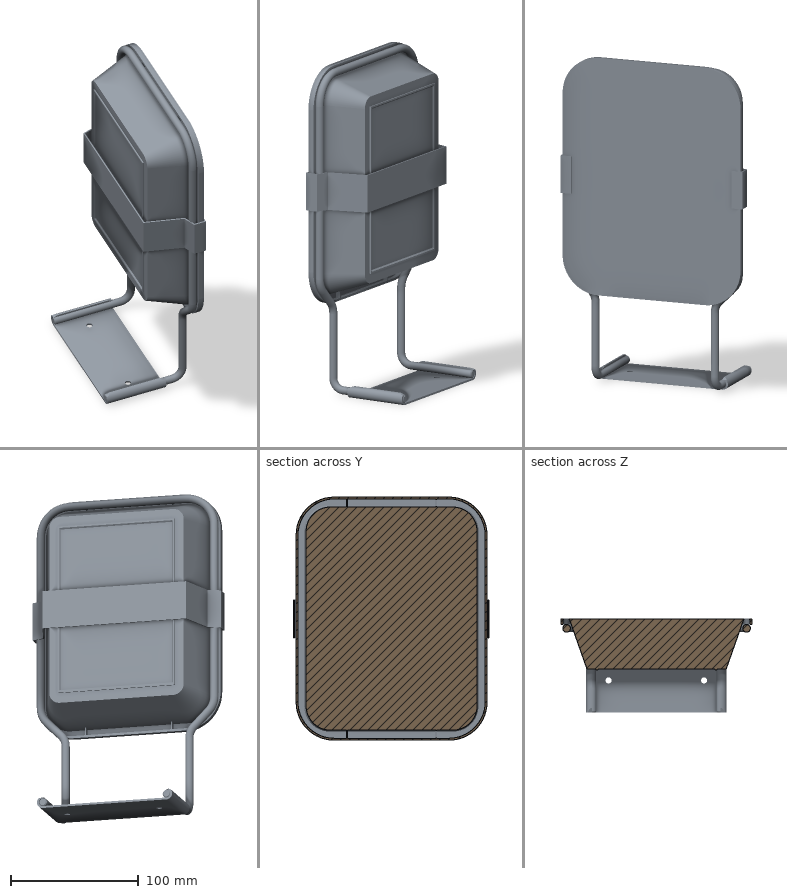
import cadquery as cq
import math

center_x = 0.3
top_z = 263.4
flange_width = 149.9
flange_height = 190.7
flange_depth = 4.7
flange_radius = 30.0
flange_center_z = top_z - flange_height / 2
lip = 1.8
groove_floor = 1.0

tray_base_inset = 6.3
tray_front_inset = 20.3
tray_depth = 39.5
tray_base_radius = 20.5
tray_front_radius = 8.5

frame_width = 95.3
frame_height = 134.3
frame_base_wall = 2.5
frame_top_wall = 1.3
frame_raise = 1.0

rib_x = 35.0
rib_thickness = 1.0

rod_radius = 3.2
rod_end_chamfer = 0.8
rod_y = -7.6
rod_inset = 4.5
rod_corner_radius = 22.6
shoulder_z = 97.2
shoulder_radius = 15.0
knee_radius = 12.0
leg_x = 50.3
foot_radius = 9.2

sheet = 1.5
plate_back_y = -23.5
plate_front_y = -73.7
roll_radius = rod_radius + sheet
foot_z = roll_radius
roll_chamfer_length = 3.7
roll_chamfer_drop = 1.45
hole_spacing = 74.8
hole_diameter = 4.7

strap_width = 153.3
strap_thickness = 1.0
strap_bottom_z = 152.7
strap_height = 30.0
strap_side_depth = 9.0
strap_shoulder_x = 67.0
strap_shoulder_depth = 13.2
strap_front_x = 58.5
strap_front_depth = 44.5
hook_length = 9.0

MIDDLE = cq.Vector(center_x, 0, flange_center_z)


def housing_plane(depth=0.0):
    """Plane facing -Y, centred on the housing, at a depth in front of its back."""
    return cq.Workplane("XZ", origin=(center_x, -depth, flange_center_z))


def rounded_plate(inset, radius, depth, thickness):
    """Rounded rectangle set in from the flange outline."""
    return (
        housing_plane(depth)
        .rect(flange_width - 2 * inset, flange_height - 2 * inset)
        .extrude(thickness)
        .edges("|Y")
        .fillet(radius)
    )


def rounded_outline(inset, radius):
    return cq.Sketch().rect(flange_width - 2 * inset, flange_height - 2 * inset).vertices().fillet(radius)


def make_housing():
    flange = rounded_plate(0, flange_radius, 0, flange_depth)
    groove = rounded_plate(lip, flange_radius - lip, groove_floor, flange_depth)
    ribs = (
        housing_plane()
        .pushPoints([(-rib_x, 0), (rib_x, 0)])
        .rect(rib_thickness, flange_height - 2 * lip)
        .extrude(flange_depth)
    )
    tray = (
        housing_plane()
        .placeSketch(
            rounded_outline(tray_base_inset, tray_base_radius),
            rounded_outline(tray_front_inset, tray_front_radius).moved(cq.Location(cq.Vector(0, 0, tray_depth))),
        )
        .loft(ruled=True)
    )
    frame = (
        housing_plane(tray_depth)
        .rect(frame_width, frame_height)
        .extrude(frame_raise)
    )
    slope = math.degrees(math.atan2(frame_base_wall - frame_top_wall, frame_raise))
    window = (
        housing_plane(tray_depth)
        .rect(frame_width - 2 * frame_base_wall, frame_height - 2 * frame_base_wall)
        .extrude(frame_raise, taper=-slope)
    )
    return flange.cut(groove).union(ribs).union(tray).union(frame.cut(window))


def make_rod_half():
    """Rod from the middle of the top bar, down one side, to the end of one foot."""
    top = top_z - rod_inset
    side = flange_width / 2 - rod_inset
    slant = math.sqrt(0.5)
    shoulder_end = (side - shoulder_radius * (1 - slant), shoulder_z - shoulder_radius * slant)
    knee_start_x = leg_x + knee_radius * (1 - slant)
    knee_start_z = shoulder_end[1] - (shoulder_end[0] - knee_start_x)
    knee_end_z = knee_start_z - knee_radius * slant
    leg_end_z = foot_z + foot_radius
    hoop_path = (
        cq.Workplane("XZ", origin=(center_x, rod_y, 0))
        .moveTo(0, top)
        .lineTo(side - rod_corner_radius, top)
        .tangentArcPoint((side, top - rod_corner_radius), relative=False)
        .lineTo(side, shoulder_z)
        .tangentArcPoint(shoulder_end, relative=False)
        .lineTo(knee_start_x, knee_start_z)
        .tangentArcPoint((leg_x, knee_end_z), relative=False)
        .lineTo(leg_x, leg_end_z)
    )
    hoop = cq.Workplane("YZ", origin=(center_x, rod_y, top)).circle(rod_radius).sweep(hoop_path)
    foot_path = (
        cq.Workplane("YZ", origin=(center_x + leg_x, 0, 0))
        .moveTo(rod_y, leg_end_z)
        .radiusArc((rod_y - foot_radius, foot_z), foot_radius)
        .lineTo(plate_front_y, foot_z)
    )
    foot = (
        cq.Workplane("XY", origin=(center_x + leg_x, rod_y, leg_end_z))
        .circle(rod_radius)
        .sweep(foot_path)
        .faces("<Y")
        .chamfer(rod_end_chamfer)
    )
    return hoop.union(foot)


def make_rod():
    half = make_rod_half()
    return half.union(half.mirror("YZ", MIDDLE))


def make_rolled_edge():
    """Half tube around the outer side of one foot, its free edge clipped at both ends."""
    length = plate_back_y - plate_front_y
    x = center_x + leg_x
    roll = (
        cq.Workplane("XZ", origin=(x, plate_back_y, 0))
        .moveTo(0, 0)
        .radiusArc((0, 2 * roll_radius), -roll_radius)
        .lineTo(0, 2 * roll_radius - sheet)
        .radiusArc((0, sheet), rod_radius)
        .close()
        .extrude(length)
    )
    top = 2 * roll_radius
    for end_y, inward in ((plate_back_y, -1), (plate_front_y, 1)):
        corner = (
            cq.Workplane("YZ", origin=(x, 0, 0))
            .moveTo(end_y, top)
            .lineTo(end_y + inward * roll_chamfer_length, top)
            .lineTo(end_y, top - roll_chamfer_drop)
            .close()
            .extrude(roll_radius)
        )
        roll = roll.cut(corner)
    return roll


def make_foot_plate():
    length = plate_back_y - plate_front_y
    plate = (
        cq.Workplane("XY", origin=(center_x, (plate_back_y + plate_front_y) / 2, 0))
        .rect(2 * leg_x, length)
        .extrude(sheet)
        .faces(">Z")
        .workplane()
        .pushPoints([(-hole_spacing / 2, 0), (hole_spacing / 2, 0)])
        .hole(hole_diameter)
    )
    roll = make_rolled_edge()
    return plate.union(roll).union(roll.mirror("YZ", MIDDLE))


def make_strap():
    """Sheet band bent over the tray, hooked behind the flange at both ends."""
    side = strap_width / 2
    right = [
        (side, strap_thickness),
        (side, -strap_side_depth),
        (strap_shoulder_x, -strap_shoulder_depth),
        (strap_front_x, -strap_front_depth),
    ]
    left = [(-x, y) for x, y in reversed(right)]
    plane = cq.Workplane("XY", origin=(0, 0, strap_bottom_z))
    outside = plane.polyline(right + left).close().extrude(strap_height)
    inside = (
        plane.polyline(right + left).close().offset2D(-strap_thickness, "intersection").extrude(strap_height)
    )
    opening = plane.rect(2 * (side - hook_length), 2 * strap_thickness).extrude(strap_height)
    return outside.cut(inside).cut(opening)


result = make_housing().union(make_rod()).union(make_foot_plate()).union(make_strap())